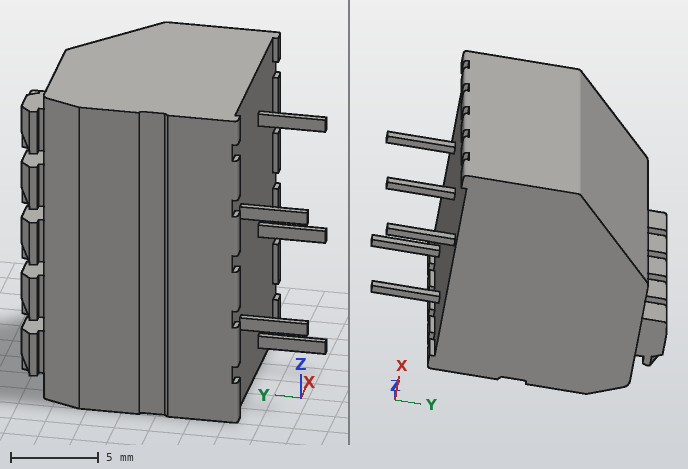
import cadquery as cq

POLE_COUNT = 5
PITCH = 3.5
END_WALL = 1.5
BODY_LENGTH = POLE_COUNT * PITCH + END_WALL

BODY_WIDTH = 12.0
BODY_HEIGHT = 11.5
TAPER_START = 9.2
TAPER_INSET = 0.9
SLOPE_RUN = 4.75
SLOPE_DROP = 4.8
CORNER_RADIUS = 0.5
SLOPE_END_RADIUS = 0.3
GROOVE_TOP = 5.7
GROOVE_BOTTOM = 4.05
GROOVE_DEPTH = 0.2
GROOVE_ROUND = 0.15

FOOT_WIDTH = 0.8
FOOT_HEIGHT = 0.3
FOOT_GAP = 1.0
FOOT_RADIUS = 0.2

PIN_THICKNESS = 0.4
PIN_DEPTH = 0.75
PIN_REACH = 3.6
PIN_ROW_RIGHT = 7.3
PIN_ROW_SPACING = 5.0

LEVER_LENGTH = 2.65
LEVER_START = 0.82
LEVER_HEIGHT = 1.6
LEVER_LEFT = 2.5
LEVER_RIGHT = 4.8
HOOK_TIP_X = 2.0
HOOK_UNDERSIDE = 0.57
HOOK_CHAMFER_RUN = 0.08
HOOK_CHAMFER_RISE = 0.25
HOOK_SLOPE_START = 1.0
HOOK_SLOPE_RUN = 0.6
CREST_END_X = 4.1
CREST_DROP = 0.08
LEVER_CORNER_RADIUS = 0.2

HOOK_NOTCH_TOP_LENGTH = 1.05
HOOK_NOTCH_BASE_LENGTH = 0.1
HOOK_NOTCH_TOP_X = 2.8
HOOK_NOTCH_BASE_X = 2.57
TIP_NOTCH_BASE_X = 4.5
TIP_NOTCH_DEPTH = 0.29


def make_housing():
    """Extruded cross-section with tapered flank, wire slope and side groove."""
    round_start_x = GROOVE_DEPTH - GROOVE_ROUND
    groove = (
        cq.Workplane("XY")
        .moveTo(0, GROOVE_TOP)
        .lineTo(round_start_x, GROOVE_TOP)
        .radiusArc((GROOVE_DEPTH, GROOVE_TOP - GROOVE_ROUND), GROOVE_ROUND)
        .lineTo(GROOVE_DEPTH, GROOVE_BOTTOM + GROOVE_DEPTH)
        .lineTo(0, GROOVE_BOTTOM)
        .close()
        .extrude(BODY_LENGTH)
    )
    outline = [
        (0, 0),
        (BODY_WIDTH, 0),
        (BODY_WIDTH, BODY_HEIGHT - SLOPE_DROP),
        (BODY_WIDTH - SLOPE_RUN, BODY_HEIGHT),
        (TAPER_INSET, BODY_HEIGHT),
        (0, TAPER_START),
    ]
    block = cq.Workplane("XY").polyline(outline).close().extrude(BODY_LENGTH)
    block = block.edges("|Z and <Y").fillet(FOOT_RADIUS)
    block = block.edges("|Z and >Y").fillet(CORNER_RADIUS)
    slope_end = cq.selectors.NearestToPointSelector(
        (BODY_WIDTH, BODY_HEIGHT - SLOPE_DROP, BODY_LENGTH / 2)
    )
    block = block.edges(slope_end).fillet(SLOPE_END_RADIUS)
    return block.cut(groove)


def cut_feet(housing):
    """Recess the underside between the foot rows and part the rows at every pole."""
    recess = cq.Workplane("XY").box(
        BODY_WIDTH - 2 * FOOT_WIDTH, FOOT_HEIGHT, BODY_LENGTH, centered=False
    )
    housing = housing.cut(recess.translate((FOOT_WIDTH, 0, 0)))
    gap = cq.Workplane("XY").box(BODY_WIDTH, FOOT_HEIGHT, FOOT_GAP, centered=False)
    for pole in range(POLE_COUNT):
        gap_top = (pole + 1) * PITCH
        housing = housing.cut(gap.translate((0, 0, gap_top - FOOT_GAP)))
    return housing


def make_pin(pole):
    """Rectangular pin hanging from the recessed underside, in alternating rows."""
    length = PIN_REACH + FOOT_HEIGHT
    center = (
        PIN_ROW_RIGHT - (pole % 2) * PIN_ROW_SPACING,
        FOOT_HEIGHT - length / 2,
        (pole + 0.5) * PITCH,
    )
    return cq.Workplane("XY").box(PIN_THICKNESS, length, PIN_DEPTH).translate(center)


def make_lever():
    """Hooked lever with its base at Y = 0 and its lower end at Z = 0."""
    hook_crest_x = HOOK_TIP_X + HOOK_SLOPE_RUN
    lever = (
        cq.Workplane("XY")
        .moveTo(LEVER_LEFT, 0)
        .lineTo(LEVER_RIGHT, 0)
        .lineTo(LEVER_RIGHT, LEVER_HEIGHT - CREST_DROP - LEVER_CORNER_RADIUS)
        .radiusArc(
            (LEVER_RIGHT - LEVER_CORNER_RADIUS, LEVER_HEIGHT - CREST_DROP),
            -LEVER_CORNER_RADIUS,
        )
        .lineTo(CREST_END_X, LEVER_HEIGHT)
        .lineTo(hook_crest_x, LEVER_HEIGHT)
        .lineTo(HOOK_TIP_X, HOOK_SLOPE_START)
        .lineTo(HOOK_TIP_X, HOOK_UNDERSIDE + HOOK_CHAMFER_RISE)
        .lineTo(HOOK_TIP_X + HOOK_CHAMFER_RUN, HOOK_UNDERSIDE)
        .lineTo(LEVER_LEFT, HOOK_UNDERSIDE)
        .close()
        .extrude(LEVER_LENGTH)
    )
    return lever.cut(make_hook_notch()).cut(make_tip_notch())


def make_hook_notch():
    """Wedge cut into the lower end of the hook slope, closed by a leaning wall."""
    across = (
        cq.Workplane("YZ")
        .polyline(
            [
                (HOOK_SLOPE_START, 0),
                (LEVER_HEIGHT, 0),
                (LEVER_HEIGHT, HOOK_NOTCH_TOP_LENGTH),
                (HOOK_SLOPE_START, HOOK_NOTCH_BASE_LENGTH),
            ]
        )
        .close()
        .extrude(LEVER_RIGHT)
    )
    along = (
        cq.Workplane("XY")
        .polyline(
            [
                (HOOK_TIP_X, HOOK_SLOPE_START),
                (HOOK_NOTCH_BASE_X, HOOK_SLOPE_START),
                (HOOK_NOTCH_TOP_X, LEVER_HEIGHT),
                (HOOK_TIP_X, LEVER_HEIGHT),
            ]
        )
        .close()
        .extrude(LEVER_LENGTH)
    )
    return across.intersect(along)


def make_tip_notch():
    """Shallow wedge cut into the upper end, its floor rising to the lever's right side."""
    outline = (
        cq.Workplane("XY")
        .polyline(
            [
                (TIP_NOTCH_BASE_X, HOOK_SLOPE_START),
                (LEVER_RIGHT, HOOK_SLOPE_START),
                (LEVER_RIGHT, LEVER_HEIGHT),
                (CREST_END_X, LEVER_HEIGHT),
            ]
        )
        .close()
        .extrude(LEVER_LENGTH)
    )
    ramp = (
        cq.Workplane("XZ")
        .polyline(
            [
                (CREST_END_X, LEVER_LENGTH - TIP_NOTCH_DEPTH),
                (LEVER_RIGHT, LEVER_LENGTH),
                (CREST_END_X, LEVER_LENGTH),
            ]
        )
        .close()
        .extrude(-LEVER_HEIGHT)
    )
    return outline.intersect(ramp)


result = cut_feet(make_housing())
lever = make_lever().translate((0, BODY_HEIGHT, LEVER_START))
for pole in range(POLE_COUNT):
    result = result.union(make_pin(pole))
    result = result.union(lever.translate((0, 0, pole * PITCH)))